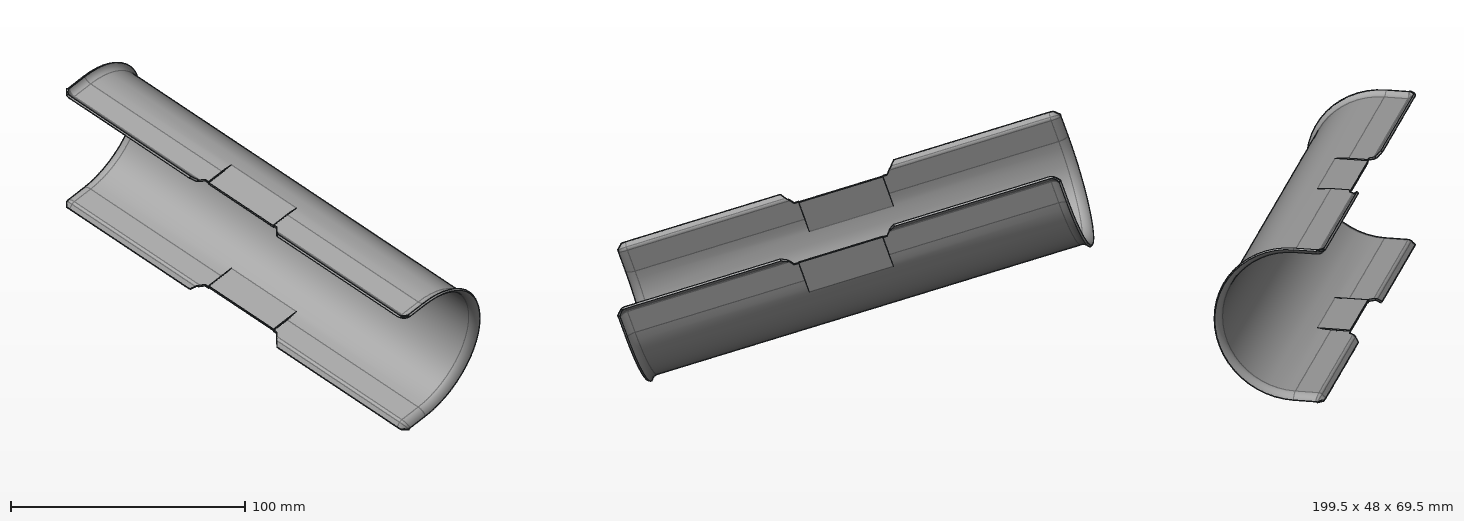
import cadquery as cq
import math

length = 199.5
height = 69.5
depth = 48.0
wall = 1.0
outer_radius = 32.7
inner_radius = outer_radius - wall

flare_radius = 4.0
flare_rise = height / 2 - outer_radius
flare_angle = math.acos(1 - flare_rise / flare_radius)

lip_angle = math.radians(45)
lip_inner_bend_radius = 2.0
lip_outer_bend_radius = lip_inner_bend_radius - wall
lip_tip_y = height / 2 - depth
lip_corner_chamfer = 2.8

lip_inner_tip_z = height / 2 - wall * math.cos(lip_angle)
bend_y = lip_tip_y + (lip_inner_tip_z - inner_radius) / math.tan(lip_angle)
lip_length = (bend_y - lip_tip_y) / math.cos(lip_angle)
miter_slope = math.tan(lip_angle / 2)

notch_y = -8.4
notch_bottom_half = 21.0
notch_mouth_half = 25.5

patch_length = 38.0
patch_back_y = 6.0
patch_outer_z = math.sqrt(outer_radius**2 - patch_back_y**2)


def wall_section():
    """Closed lengthwise wall outline in the X-Z plane at y = 0, flared at both ends."""
    flare_center_z = outer_radius + flare_radius
    flare_outside_radius = flare_radius + wall
    straight_half = length / 2 - flare_outside_radius * math.sin(flare_angle)

    def flare_point(radius, angle, side):
        x = straight_half + radius * math.sin(angle)
        return side * x, flare_center_z - radius * math.cos(angle)

    middle = flare_angle / 2
    return (
        cq.Workplane("XZ")
        .moveTo(-straight_half, inner_radius)
        .lineTo(straight_half, inner_radius)
        .threePointArc(
            flare_point(flare_outside_radius, middle, 1),
            flare_point(flare_outside_radius, flare_angle, 1),
        )
        .lineTo(*flare_point(flare_radius, flare_angle, 1))
        .threePointArc(flare_point(flare_radius, middle, 1), (straight_half, outer_radius))
        .lineTo(-straight_half, outer_radius)
        .threePointArc(
            flare_point(flare_radius, middle, -1),
            flare_point(flare_radius, flare_angle, -1),
        )
        .lineTo(*flare_point(flare_outside_radius, flare_angle, -1))
        .threePointArc(
            flare_point(flare_outside_radius, middle, -1), (-straight_half, inner_radius)
        )
        .close()
    )


def miter_side(front):
    """Block on one side of the plane that halves the bend between flat and lip."""
    reach = 8.0
    far_y = bend_y - 3 * reach if front else bend_y + 3 * reach
    low_z = inner_radius - reach
    high_z = inner_radius + reach
    return (
        cq.Workplane("YZ")
        .polyline([
            (bend_y - reach * miter_slope, low_z),
            (bend_y + reach * miter_slope, high_z),
            (far_y, high_z),
            (far_y, low_z),
        ])
        .close()
        .extrude(length, both=True)
    )


def bend_up(shape):
    """Turn a shape about the sharp inner bend line, from the flat onto the lip."""
    start = (0, bend_y, inner_radius)
    end = (1, bend_y, inner_radius)
    return shape.rotate(start, end, -math.degrees(lip_angle))


def upper_edge():
    """Flat stretch and outward lip above the open side, with a rounded bend."""
    overlap = 4.0
    flat = wall_section().extrude(overlap - bend_y).intersect(miter_side(front=False))
    straight_lip = wall_section().extrude(lip_length).union(wall_section().extrude(-overlap))
    lip = bend_up(straight_lip.translate((0, bend_y, 0))).intersect(miter_side(front=True))
    edge = flat.union(lip)
    inner_bend = cq.selectors.NearestToPointSelector((0, bend_y, inner_radius))
    outer_bend = cq.selectors.NearestToPointSelector(
        (0, bend_y + wall * miter_slope, outer_radius)
    )
    edge = edge.edges(inner_bend).fillet(lip_inner_bend_radius)
    return edge.edges(outer_bend).fillet(lip_outer_bend_radius)


def flatten_patch(body):
    """Replace the curved wall by a flat wall of the same thickness, flush at its back edge."""
    width = patch_back_y - notch_y
    middle_y = (patch_back_y + notch_y) / 2
    clearance = cq.Workplane("XY").box(patch_length, width, height, centered=(True, True, False))
    slab = cq.Workplane("XY").box(patch_length, width, wall, centered=(True, True, False))
    body = body.cut(clearance.translate((0, middle_y, patch_outer_z)))
    return body.union(slab.translate((0, middle_y, patch_outer_z - wall)))


def notch():
    """Cutter for the upper notch: a tapered outline on the unbent sheet, folded with the lip."""
    beyond = 2.0
    tip_y = bend_y - lip_length
    slope = (notch_mouth_half - notch_bottom_half) / (notch_y - tip_y)
    outer_half = notch_mouth_half + slope * beyond
    flat_cutter = (
        cq.Workplane("XY", origin=(0, 0, inner_radius - beyond))
        .polyline([
            (-notch_bottom_half, notch_y),
            (notch_bottom_half, notch_y),
            (outer_half, tip_y - beyond),
            (-outer_half, tip_y - beyond),
        ])
        .close()
        .extrude(wall + 2 * beyond)
    )
    lip_cutter = bend_up(flat_cutter).intersect(miter_side(front=True))
    return flat_cutter.intersect(miter_side(front=False)).union(lip_cutter)


def upper_bounds():
    """Envelope of the upper half, with the front corners of the lip cut off."""
    return (
        cq.Workplane("XY", origin=(0, lip_tip_y, 0))
        .box(length, depth, height / 2, centered=(True, False, False))
        .edges("|Z and <Y")
        .chamfer(lip_corner_chamfer)
    )


quarter_pipe = wall_section().revolve(90, (0, 0), (-1, 0))
upper_half = quarter_pipe.union(upper_edge()).intersect(upper_bounds())
upper_half = flatten_patch(upper_half).cut(notch())
result = upper_half.union(upper_half.mirror("XY"))